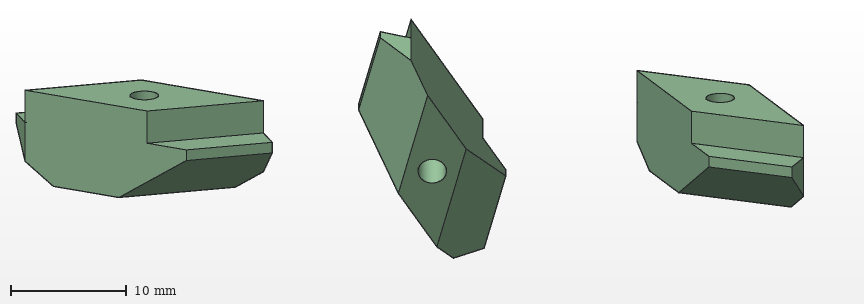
import cadquery as cq

width = 14.0
length = 19.0
height = 8.3

flange_width = 2.74
head_height = 2.93
flange_edge = 0.97
bottom_width = 4.58
hole_diameter = 2.45

half_width = width / 2
half_length = length / 2
half_head = half_width - flange_width
half_bottom = bottom_width / 2
ledge_z = height - head_height
taper_top_z = ledge_z - flange_edge

end_cut = width - flange_width


def make_profile_bar():
    """Stepped and tapered section, extruded along Y."""
    right_side = [
        (half_bottom, 0),
        (half_width, taper_top_z),
        (half_width, ledge_z),
        (half_head, ledge_z),
        (half_head, height),
    ]
    left_side = [(-x, z) for x, z in reversed(right_side)]
    section = cq.Workplane("XZ").polyline(right_side + left_side).close()
    return section.extrude(half_length, both=True)


def make_plan_block():
    """Skewed outline in plan, extruded through the full height."""
    lower_right = [
        (-half_width, -half_length),
        (-half_head, -half_length),
        (half_width, -half_length + end_cut),
    ]
    upper_left = [(-x, -y) for x, y in lower_right]
    return cq.Workplane("XY").polyline(lower_right + upper_left).close().extrude(height)


def make_hole():
    """Central vertical through hole."""
    return cq.Workplane("XY").circle(hole_diameter / 2).extrude(height)


result = make_profile_bar().intersect(make_plan_block()).cut(make_hole())